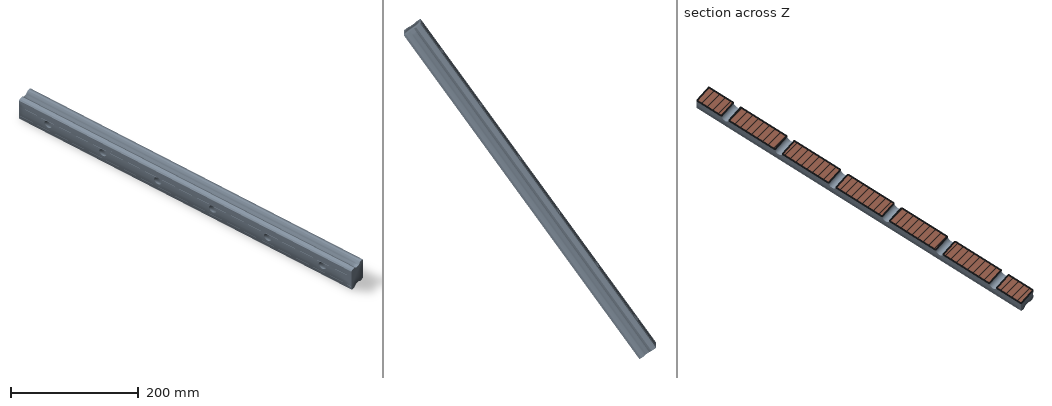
import cadquery as cq

length = 635.0
depth = 32.0
height = 45.0

half_depth = depth / 2
half_height = height / 2
chamfer_height = 2.0
back_chamfer_depth = 4.0
front_chamfer_depth = 2.0
back_lug_end = 8.0
groove_floor_z = 18.5
groove_back_y = 4.0
groove_front_y = -3.0
front_lug_start = -7.5

relief_inner_z = 7.0
relief_outer_z = 14.0
relief_depth = 0.3

hole_count = 6
hole_pitch = 105.0
hole_diameter = 14.0


def make_rail():
    """Extrude the profile, symmetric about the horizontal mid-plane, along X."""
    shoulder_z = half_height - chamfer_height
    upper = [
        (half_depth, shoulder_z),
        (half_depth - back_chamfer_depth, half_height),
        (back_lug_end, half_height),
        (groove_back_y, groove_floor_z),
        (groove_front_y, groove_floor_z),
        (front_lug_start, half_height),
        (-half_depth + front_chamfer_depth, half_height),
        (-half_depth, shoulder_z),
    ]
    lower = [(y, -z) for y, z in reversed(upper)]
    profile = cq.Workplane("YZ").polyline(upper + lower).close()
    return profile.extrude(length / 2, both=True)


def make_reliefs():
    """Two full-length strips cut into the front face, above and below the holes."""
    strip_height = relief_outer_z - relief_inner_z
    strip_z = (relief_inner_z + relief_outer_z) / 2
    return (
        cq.Workplane("XZ", origin=(0, -half_depth, 0))
        .pushPoints([(0, strip_z), (0, -strip_z)])
        .rect(length, strip_height)
        .extrude(-relief_depth)
    )


def make_holes():
    """A centred row of plain holes through the full depth."""
    return (
        cq.Workplane("XZ", origin=(0, -half_depth, 0))
        .rarray(hole_pitch, 6.5, hole_count, 1)
        .circle(hole_diameter / 2)
        .extrude(-depth)
    )


result = make_rail().cut(make_reliefs()).cut(make_holes())